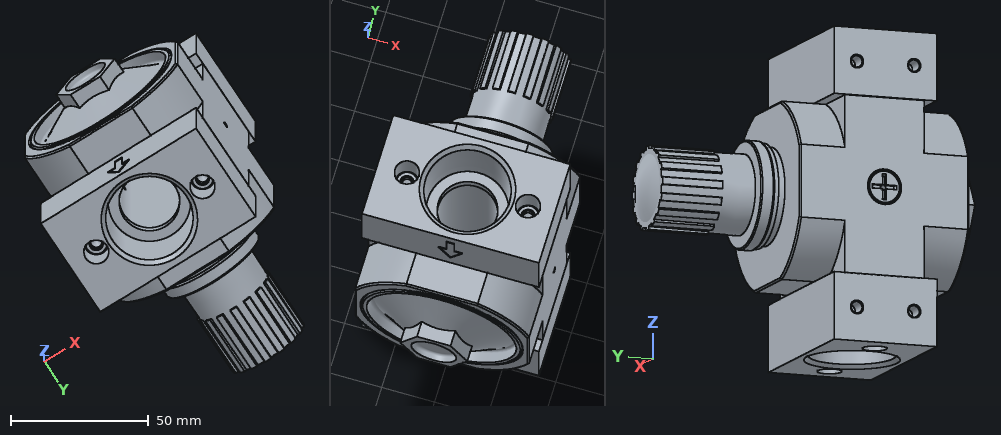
import cadquery as cq
import math


housing_half = 33.0
core_half_length = 15.4
flat_half_width = 13.5
corner_radius = math.hypot(housing_half, flat_half_width)
housing_chamfer = 0.6
flow_bore_diameter = 22.0
sensing_hole_diameter = 2.0

neck_diameter = 36.2
neck_end = 35.9
flange_diameter = 38.8
ring_start = 37.5
ring_end = 42.9
ring_diameter = 40
ring_chamfer_front = 0.8
ring_chamfer_rear = 0.5

knob_start = 43.2
rib_start = 56.2
knob_face = 79.6
knob_tip = 82.0
knob_stem_diameter = 26.9
knob_base_diameter = 29.9
knob_face_diameter = 29.1
knob_dome_diameter = 24.9
rib_outer_diameter = 31.2
rib_width = 2.8
rib_count = 16

cap_seat = -25
cap_front = -33.2
cap_diameter = 60.8
cap_chamfer = 0.5
seat_chamfer = 0.5
lip_inner_diameter = 56.8
valley_y = -27.9
valley_fillet = 1.0
cone_angle = 30
hex_across_flats = 22.0
hex_front = -43.0
hex_recess_diameter = 17.0
hex_recess_depth = 3.0
hex_recess_fillet = 1.1

block_height = 25
block_half_depth = 20
block_left = -34.1
block_right = housing_half
block_width = block_right - block_left
block_center_x = (block_left + block_right) / 2
block_center_z = housing_half + block_height / 2
block_outer_z = housing_half + block_height
port_chamfer_diameter = 35
port_chamfer = 1.5
port_diameter = 31.8
port_taper_depth = 16.0
port_floor_diameter = 30
port_depth = 21.2
side_hole_spacing = 22.2
side_hole_depth = 7.5
arrow_shaft_width = 3.0
arrow_head_width = 9.0
arrow_length = 15
arrow_head_length = 7.5
arrow_depth = 0.2

drill_diameter = 4.2
drill_mouth_diameter = 5
drill_tip_angle = 118

screw_spacing = 45.9
screw_head_diameter = 8.5
screw_head_height = 5
screw_head_chamfer = 0.4
screw_counterbore_diameter = 9.0
screw_counterbore_depth = 15
screw_shank_diameter = 5
screw_depth_in_housing = 10
screw_socket_depth = 2.5
screw_tip_z = housing_half - screw_depth_in_housing
screw_seat_z = block_outer_z - screw_counterbore_depth
screw_places = [(side * screw_spacing / 2, end) for end in (1, -1) for side in (1, -1)]

plug_diameter = 12.4
plug_length = 7.5
plug_chamfer = 0.4
plug_slot_diameter = 9.5
plug_slot_floor_diameter = 8.2
plug_slot_width = 1.5
plug_slot_depth = 1.5


def cylinder_y(diameter, start, end):
    return cq.Workplane("XZ", origin=(0, start, 0)).circle(diameter / 2).extrude(start - end)


def cylinder_z(diameter, start, end):
    return cq.Workplane("XY", origin=(0, 0, start)).circle(diameter / 2).extrude(end - start)


def revolve_y(profile):
    """Revolve a closed (radius, Y) outline about the Y axis."""
    return profile.close().revolve(360, (0, 0, 0), (0, 1, 0))


def drilled_hole(depth):
    """Countersunk blind hole with a drill tip; its mouth is at the origin and it goes down."""
    radius = drill_diameter / 2
    mouth_radius = drill_mouth_diameter / 2
    tip_length = radius / math.tan(math.radians(drill_tip_angle / 2))
    outline = (
        cq.Workplane("XZ")
        .lineTo(mouth_radius, 0)
        .lineTo(radius, radius - mouth_radius)
        .lineTo(radius, -depth)
        .lineTo(0, -depth - tip_length)
        .close()
    )
    return outline.revolve(360, (0, 0, 0), (0, 1, 0))


def make_housing():
    side = 2 * housing_half
    core = cq.Workplane("XY").box(side, 2 * core_half_length, side)
    lobes = cylinder_y(2 * corner_radius, -housing_half, housing_half)
    lobes = lobes.intersect(cq.Workplane("XY").box(side, side, side))
    lobes = lobes.faces("<Y or >Y").chamfer(housing_chamfer)
    housing = lobes.union(core).union(make_bonnet())

    flow_bore = cylinder_z(flow_bore_diameter, -housing_half, housing_half)
    sensing_hole = cq.Workplane("YZ").circle(sensing_hole_diameter / 2).extrude(housing_half, both=True)
    housing = housing.cut(flow_bore).cut(sensing_hole)
    housing = housing.cut(cap_recess()).cut(plug_recess())
    for x, end in screw_places:
        housing = housing.cut(place_at_end(screw_shank_hole(), x, end))
    return housing


def make_bonnet():
    neck = cylinder_y(neck_diameter, housing_half, neck_end)
    flange = cylinder_y(flange_diameter, neck_end, ring_start)
    ring = cylinder_y(ring_diameter, ring_start, ring_end)
    ring = ring.faces("<Y").chamfer(ring_chamfer_front).faces(">Y").chamfer(ring_chamfer_rear)
    return neck.union(flange).union(ring)


def cap_recess():
    radius = cap_diameter / 2
    return revolve_y(
        cq.Workplane("XY")
        .moveTo(0, cap_seat)
        .lineTo(radius, cap_seat)
        .lineTo(radius, seat_chamfer - housing_half)
        .lineTo(radius + seat_chamfer, -housing_half)
        .lineTo(radius + seat_chamfer, cap_front)
        .lineTo(0, cap_front)
    )


def make_cap():
    radius = cap_diameter / 2
    valley_radius = lip_inner_diameter / 2
    cone_top_radius = hex_across_flats / 2
    cone_height = (valley_radius - cone_top_radius) * math.tan(math.radians(cone_angle))
    cap = revolve_y(
        cq.Workplane("XY")
        .moveTo(0, cap_seat)
        .lineTo(radius, cap_seat)
        .lineTo(radius, seat_chamfer - housing_half)
        .lineTo(radius - cap_chamfer, cap_front)
        .lineTo(valley_radius, cap_front)
        .lineTo(valley_radius, valley_y)
        .lineTo(cone_top_radius, valley_y - cone_height)
        .lineTo(0, valley_y - cone_height)
    )
    valley_edge = cq.selectors.NearestToPointSelector((0, valley_y, 0))
    cap = cap.edges(valley_edge).fillet(valley_fillet)

    corner_diameter = hex_across_flats / math.cos(math.pi / 6)
    hexagon = (
        cq.Workplane("XZ", origin=(0, hex_front, 0))
        .polygon(6, corner_diameter)
        .extrude(hex_front - valley_y)
    )
    recess = cylinder_y(hex_recess_diameter, hex_front, hex_front + hex_recess_depth)
    recess = recess.faces(">Y").edges().fillet(hex_recess_fillet)
    return cap.union(hexagon).cut(recess)


def make_knob():
    stem_radius = knob_stem_diameter / 2
    dome_radius = knob_dome_diameter / 2
    dome_height = knob_tip - knob_face
    sphere_radius = (dome_radius**2 + dome_height**2) / (2 * dome_height)
    half_angle = math.asin(dome_radius / sphere_radius) / 2
    dome_mid_y = knob_tip - sphere_radius * (1 - math.cos(half_angle))
    knob = revolve_y(
        cq.Workplane("XY")
        .moveTo(0, ring_end)
        .lineTo(stem_radius, ring_end)
        .lineTo(stem_radius, knob_start)
        .lineTo(knob_base_diameter / 2, knob_start)
        .lineTo(knob_face_diameter / 2, knob_face)
        .lineTo(dome_radius, knob_face)
        .threePointArc((sphere_radius * math.sin(half_angle), dome_mid_y), (0, knob_tip))
    )
    rib_length = knob_face - rib_start
    rib_cylinder = cylinder_y(rib_outer_diameter, rib_start, knob_face)
    spokes = cq.Workplane("XY")
    for index in range(rib_count // 2):
        spoke = (
            cq.Workplane("XY", origin=(0, rib_start + rib_length / 2, 0))
            .box(rib_width, rib_length, rib_outer_diameter)
            .rotate((0, 0, 0), (0, 1, 0), index * 360 / rib_count)
        )
        spokes = spokes.union(spoke)
    return knob.union(spokes.intersect(rib_cylinder))


def place_at_end(shape, x, end):
    """Move a shape made at the upper end to place x, mirrored to the lower end when end is -1."""
    moved = shape.translate((x, 0, 0))
    return moved if end > 0 else moved.mirror("XY")


def screw_shank_hole():
    return cylinder_z(screw_shank_diameter, screw_tip_z, block_outer_z)


def make_screw():
    head_top = screw_seat_z + screw_head_height
    head = cylinder_z(screw_head_diameter, screw_seat_z, head_top)
    head = head.faces(">Z").chamfer(screw_head_chamfer)
    shank = cylinder_z(screw_shank_diameter, screw_tip_z, screw_seat_z)
    socket = drilled_hole(screw_socket_depth).translate((0, 0, head_top))
    return head.union(shank).cut(socket)


def port():
    """Chamfered, tapered port with a flat floor, opening on the outer face of the upper block."""
    mouth_z = block_outer_z
    outline = (
        cq.Workplane("XZ")
        .moveTo(0, mouth_z)
        .lineTo(port_chamfer_diameter / 2, mouth_z)
        .lineTo(port_diameter / 2, mouth_z - port_chamfer)
        .lineTo(port_floor_diameter / 2, mouth_z - port_taper_depth)
        .lineTo(port_floor_diameter / 2, mouth_z - port_depth)
        .lineTo(flow_bore_diameter / 2, mouth_z - port_depth)
        .lineTo(flow_bore_diameter / 2, housing_half)
        .lineTo(0, housing_half)
        .close()
    )
    return outline.revolve(360, (0, 0, 0), (0, 1, 0))


def flow_arrow(center_z):
    """Shallow arrow pointing down, engraved in the front face of a block."""
    top = arrow_length / 2
    head_z = arrow_head_length - top
    return (
        cq.Workplane("XZ", origin=(block_center_x, -block_half_depth, center_z))
        .moveTo(-arrow_shaft_width / 2, top)
        .lineTo(arrow_shaft_width / 2, top)
        .lineTo(arrow_shaft_width / 2, head_z)
        .lineTo(arrow_head_width / 2, head_z)
        .lineTo(0, -top)
        .lineTo(-arrow_head_width / 2, head_z)
        .lineTo(-arrow_shaft_width / 2, head_z)
        .close()
        .extrude(-arrow_depth)
    )


def make_block(end):
    center_z = end * block_center_z
    block = cq.Workplane("XY", origin=(block_center_x, 0, center_z)).box(
        block_width, 2 * block_half_depth, block_height
    )
    block = block.cut(place_at_end(port(), 0, end))
    counterbore = cylinder_z(screw_counterbore_diameter, screw_seat_z, block_outer_z)
    screw_hole = counterbore.union(screw_shank_hole())
    side_hole = drilled_hole(side_hole_depth).rotate((0, 0, 0), (0, 1, 0), -90)
    for side in (1, -1):
        block = block.cut(place_at_end(screw_hole, side * screw_spacing / 2, end))
        block = block.cut(side_hole.translate((block_left, side * side_hole_spacing / 2, center_z)))
    return block.cut(flow_arrow(center_z))


def plug_recess():
    recess = (
        cq.Workplane("YZ", origin=(-housing_half, 0, 0))
        .circle(plug_diameter / 2)
        .extrude(plug_length)
    )
    countersink = (
        cq.Workplane("YZ", origin=(-housing_half, 0, 0))
        .circle(plug_diameter / 2 + plug_chamfer)
        .workplane(offset=plug_chamfer)
        .circle(plug_diameter / 2)
        .loft()
    )
    return recess.union(countersink)


def make_plug():
    face = cq.Workplane("YZ", origin=(-housing_half, 0, 0))
    plug = face.circle(plug_diameter / 2).extrude(plug_length).faces("<X").chamfer(plug_chamfer)
    bars = face.rect(plug_slot_diameter, plug_slot_width).extrude(plug_slot_depth)
    bars = bars.union(face.rect(plug_slot_width, plug_slot_diameter).extrude(plug_slot_depth))
    slot_envelope = (
        face.circle(plug_slot_diameter / 2)
        .workplane(offset=plug_slot_depth)
        .circle(plug_slot_floor_diameter / 2)
        .loft()
    )
    center_hole = face.circle(sensing_hole_diameter / 2).extrude(plug_length)
    return plug.cut(bars.intersect(slot_envelope)).cut(center_hole)


housing = make_housing()
cap = make_cap()
knob = make_knob()
plug = make_plug()
blocks = [make_block(end) for end in (1, -1)]
screws = [place_at_end(make_screw(), x, end) for x, end in screw_places]

result = cq.Compound.makeCompound(
    [
        housing.val(),
        cap.val(),
        knob.val(),
        plug.val(),
        *[block.val() for block in blocks],
        *[screw.val() for screw in screws],
    ]
)